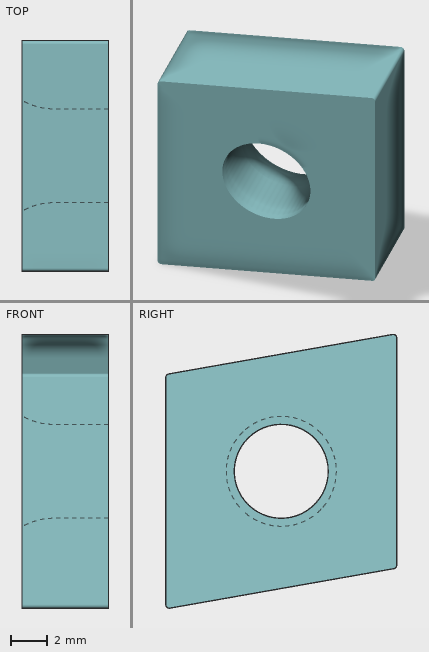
import cadquery as cq
import math

thickness = 4.76
height = 15.06
acute_angle = 80.0
corner_radius = 0.2

half_angle_tan = math.tan(math.radians(acute_angle / 2))
width = height * half_angle_tan + 2 * corner_radius * (1 - half_angle_tan)

bore_radius = 2.58
mouth_radius = 3.03
lip_depth = 0.21
lip_inset = 0.09
seat_depth = 1.72


def make_plate():
    half_width = width / 2
    side_length = width / math.sin(math.radians(acute_angle))
    skew = half_width / math.tan(math.radians(acute_angle))
    corners = [
        (half_width, skew + side_length / 2),
        (half_width, skew - side_length / 2),
        (-half_width, -skew - side_length / 2),
        (-half_width, -skew + side_length / 2),
    ]
    plate = cq.Workplane("YZ").polyline(corners).close().extrude(thickness)
    return plate.edges("|X").fillet(corner_radius)


def make_hole():
    """Revolve the hole profile about X; the seat arc is tangent to the bore."""
    lip_radius = mouth_radius - lip_inset
    seat_length = seat_depth - lip_depth
    seat_drop = lip_radius - bore_radius
    arc_radius = (seat_length**2 + seat_drop**2) / (2 * seat_drop)
    half_sweep = math.asin(seat_length / arc_radius) / 2
    arc_middle = (
        seat_depth - arc_radius * math.sin(half_sweep),
        bore_radius + arc_radius * (1 - math.cos(half_sweep)),
    )
    profile = (
        cq.Workplane("XY")
        .lineTo(0, mouth_radius)
        .lineTo(lip_depth, lip_radius)
        .threePointArc(arc_middle, (seat_depth, bore_radius))
        .lineTo(thickness, bore_radius)
        .lineTo(thickness, 0)
        .close()
    )
    return profile.revolve(360, (0, 0, 0), (1, 0, 0))


result = make_plate().cut(make_hole())